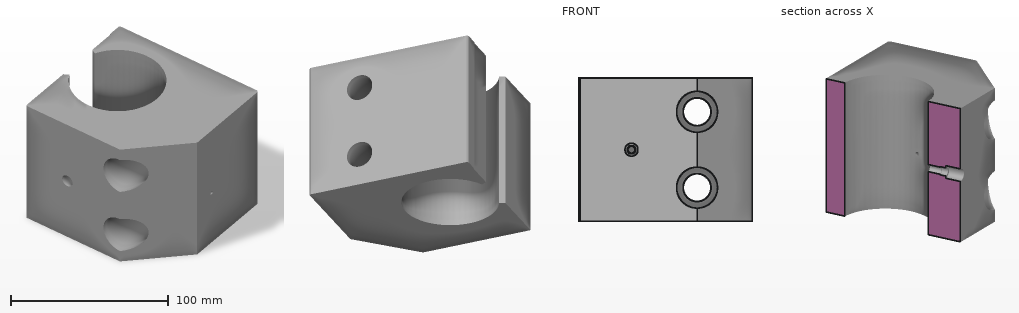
import cadquery as cq
import math

length = 110.0
width = 100.0
height = 91.0
mid_height = height / 2
big_chamfer = 35.0
back_chamfer = 1.0
front_chamfer = 0.5

relief_depth = 0.5
strip_width = 10.0

bore_radius = 31.0
bore_x = 32.0
bore_y = 55.0
slot_half_width = 13.4
flare_angle = 30.0

bolt_x = length - big_chamfer
bolt_spacing = 48.1
bolt_diameter = 17.5
counterbore_diameter = 26.0
counterbore_depth = 33.0

screw_x = 33.4
screw_diameter = 4.5
screw_thread_diameter = 5.3
screw_thread_depth = 15.4
screw_mouth_diameter = 8.2
screw_mouth_depth = 11.0

cross_y = 50.0
cross_z = 40.3
cross_diameter = 2.5


def make_block():
    """Block with its corners cut and the slotted side relieved."""
    block = cq.Workplane("XY").box(length, width, height, centered=False)
    block = block.edges("|Z and >X and <Y").chamfer(big_chamfer)
    block = block.edges("|Z and >Y").chamfer(back_chamfer)
    relief = cq.Workplane("XY").box(relief_depth, width - strip_width, height, centered=False)
    block = block.cut(relief)
    return block.edges("|Z and <(1,1,0)").chamfer(front_chamfer)


def make_bore():
    """Round bore joined to a slot that widens towards the outside."""
    bore = cq.Workplane("XY").center(bore_x, bore_y).circle(bore_radius).extrude(height)
    tip_x = bore_x - math.sqrt(bore_radius**2 - slot_half_width**2)
    mouth_half_width = slot_half_width + tip_x * math.tan(math.radians(flare_angle))
    slot = (
        cq.Workplane("XY")
        .moveTo(0, bore_y - mouth_half_width)
        .lineTo(tip_x, bore_y - slot_half_width)
        .lineTo(bore_x, bore_y - slot_half_width)
        .lineTo(bore_x, bore_y + slot_half_width)
        .lineTo(tip_x, bore_y + slot_half_width)
        .lineTo(0, bore_y + mouth_half_width)
        .close()
        .extrude(height)
    )
    return bore.union(slot)


def hole_along_y(x, z, diameter, depth):
    """Cylinder going into the block from the drilled face."""
    return cq.Workplane("XZ").center(x, z).circle(diameter / 2).extrude(-depth)


def make_bolt_hole(z):
    through = hole_along_y(bolt_x, z, bolt_diameter, width)
    return through.union(hole_along_y(bolt_x, z, counterbore_diameter, counterbore_depth))


def make_screw_hole():
    drill = hole_along_y(screw_x, mid_height, screw_diameter, bore_y)
    thread = hole_along_y(screw_x, mid_height, screw_thread_diameter, screw_thread_depth)
    mouth = hole_along_y(screw_x, mid_height, screw_mouth_diameter, screw_mouth_depth)
    return drill.union(thread).union(mouth)


def make_cross_hole():
    return (
        cq.Workplane("YZ", origin=(bore_x, cross_y, cross_z))
        .circle(cross_diameter / 2)
        .extrude(length - bore_x)
    )


result = make_block().cut(make_bore()).cut(make_screw_hole()).cut(make_cross_hole())
for side in (-1, 1):
    result = result.cut(make_bolt_hole(mid_height + side * bolt_spacing / 2))